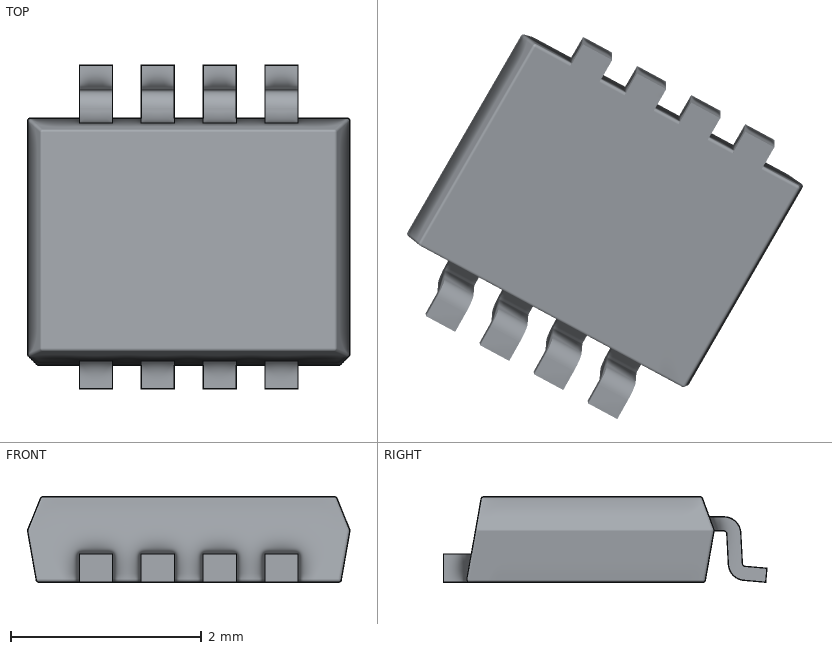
import cadquery as cq
import math

body_length = 3.39
body_height = 0.90
parting_height = 0.545
back_at_parting = 1.145
front_at_bottom = -1.46
side_draft = 22.0
back_draft = 20.0
lower_draft = 10.0
front_draft = 10.0
edge_radius = 0.03

lead_count = 4
lead_pitch = 0.65
lead_width = 0.35
lead_reach = 1.70

front_lead_height = 0.30
front_lead_inner = -1.30

lead_thickness = 0.15
bend_inner_radius = 0.03
shoulder_height = 0.615
shoulder_inner = 0.95
shoulder_corner = 1.345
leg_tilt = 3.0
foot_tilt = 5.0


def slope(angle):
    """Sideways run per unit of height for a draft angle in degrees."""
    return math.tan(math.radians(angle))


def make_body():
    """Cross the end profile with the side profile, then round every edge."""
    upper_height = body_height - parting_height
    half_length = body_length / 2
    half_top = half_length - upper_height * slope(side_draft)
    half_bottom = half_length - parting_height * slope(lower_draft)
    back_top = back_at_parting - upper_height * slope(back_draft)
    back_bottom = back_at_parting - parting_height * slope(lower_draft)
    front_top = front_at_bottom + body_height * slope(front_draft)

    length_prism = (
        cq.Workplane("XZ")
        .polyline([
            (-half_bottom, 0),
            (half_bottom, 0),
            (half_length, parting_height),
            (half_top, body_height),
            (-half_top, body_height),
            (-half_length, parting_height),
        ])
        .close()
        .extrude(2 * lead_reach, both=True)
    )
    depth_prism = (
        cq.Workplane("YZ")
        .polyline([
            (front_at_bottom, 0),
            (back_bottom, 0),
            (back_at_parting, parting_height),
            (back_top, body_height),
            (front_top, body_height),
        ])
        .close()
        .extrude(body_length, both=True)
    )
    return length_prism.intersect(depth_prism).edges().fillet(edge_radius)


def make_front_lead():
    """Rectangular lead lying on the base plane, centred on X = 0."""
    return cq.Workplane("XY").box(
        lead_width,
        lead_reach + front_lead_inner,
        front_lead_height,
        centered=(True, False, False),
    ).translate((0, -lead_reach, 0))


def make_back_lead():
    """Gull-wing lead of constant thickness, centred on X = 0."""
    half = lead_thickness / 2
    leg = math.radians(leg_tilt)
    foot = math.radians(foot_tilt)

    tip_y = lead_reach - half * math.sin(foot)
    tip_z = half * math.cos(foot)
    drop = (
        shoulder_height - tip_z - (tip_y - shoulder_corner) * math.tan(foot)
    ) / (1 - math.tan(leg) * math.tan(foot))
    heel_y = shoulder_corner + drop * math.tan(leg)
    heel_z = shoulder_height - drop

    shoulder_miter = half * math.tan((math.pi / 2 - leg) / 2)
    heel_turn = math.pi / 2 - leg - foot
    heel_miter = half / math.cos(heel_turn / 2)
    heel_direction = foot + heel_turn / 2
    heel_dy = heel_miter * math.sin(heel_direction)
    heel_dz = heel_miter * math.cos(heel_direction)

    upper_shoulder = (shoulder_corner + shoulder_miter, shoulder_height + half)
    lower_shoulder = (shoulder_corner - shoulder_miter, shoulder_height - half)
    upper_heel = (heel_y + heel_dy, heel_z + heel_dz)
    lower_heel = (heel_y - heel_dy, heel_z - heel_dz)

    lead = (
        cq.Workplane("YZ")
        .polyline([
            (shoulder_inner, shoulder_height + half),
            upper_shoulder,
            upper_heel,
            (lead_reach, 2 * tip_z),
            (lead_reach - lead_thickness * math.sin(foot), 0),
            lower_heel,
            lower_shoulder,
            (shoulder_inner, shoulder_height - half),
        ])
        .close()
        .extrude(lead_width / 2, both=True)
    )
    for corners, radius in (
        ((lower_shoulder, upper_heel), bend_inner_radius),
        ((upper_shoulder, lower_heel), bend_inner_radius + lead_thickness),
    ):
        for y, z in corners:
            lead = lead.edges(cq.NearestToPointSelector((0, y, z))).fillet(radius)
    return lead


result = make_body()
for index in range(lead_count):
    lead_x = (index - (lead_count - 1) / 2) * lead_pitch
    result = result.union(make_front_lead().translate((lead_x, 0, 0)))
    result = result.union(make_back_lead().translate((lead_x, 0, 0)))